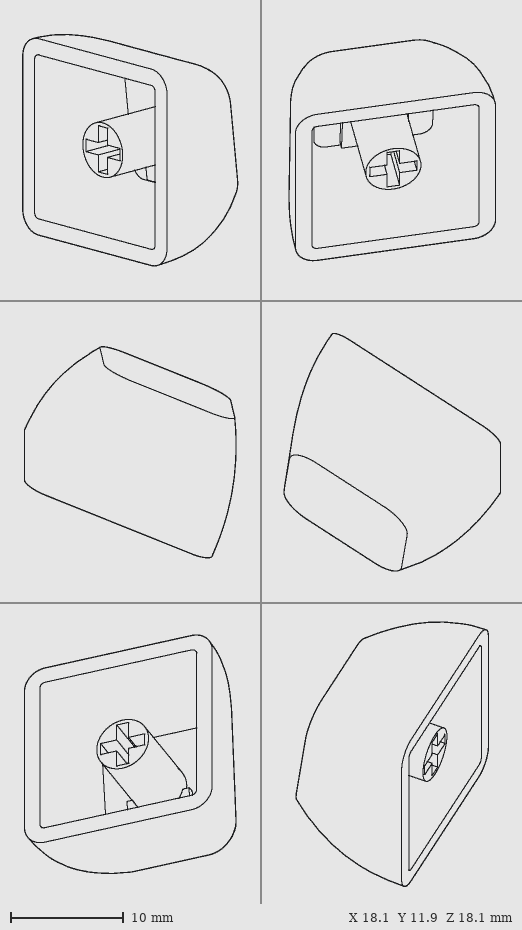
import cadquery as cq
import math

OPEN_SIZE = 18.1
OPEN_CORNER = 2.0
TOP_SIZE = 12.6
TOP_CORNER = 2.66
TOP_HEIGHT = 11.17
TOP_TILT = 7.0
WALL = 1.5
TAPER_POWER = 2.2
SECTION_COUNT = 5

STEM_DIAMETER = 5.0
STEM_RECESS = 1.0
CROSS_LENGTH = 4.25
CROSS_WIDTH = 1.14
CROSS_DEPTH = 4.0

BLOCK_WIDTH = 5.97
BLOCK_LENGTH = 4.35
BLOCK_THICKNESS = 0.72
BLOCK_OFFSET = 2.82


def tilted_plane(height, tilt):
    """Plane that faces +Y at the given height and leans toward +Z; its y axis runs down the -Z side."""
    angle = math.radians(tilt)
    normal = (0, math.cos(angle), math.sin(angle))
    return cq.Plane(origin=(0, height, 0), xDir=(1, 0, 0), normal=normal)


def flat_workplane(height):
    """Workplane that faces +Y, square to the stem."""
    return cq.Workplane(tilted_plane(height, 0))


def section_outline(fraction):
    """Rounded square across the cap; it narrows faster the higher it lies."""
    size = OPEN_SIZE + (TOP_SIZE - OPEN_SIZE) * fraction**TAPER_POWER
    corner = OPEN_CORNER + (TOP_CORNER - OPEN_CORNER) * fraction**TAPER_POWER
    plane = tilted_plane(TOP_HEIGHT * fraction, TOP_TILT * fraction)
    outline = cq.Sketch().rect(size, size).vertices().fillet(corner)
    return outline.moved(cq.Location(plane))


def make_shell():
    """Hollow cap of even wall thickness, open at y = 0."""
    last = SECTION_COUNT - 1
    outlines = [section_outline(index / last) for index in range(SECTION_COUNT)]
    blank = cq.Workplane().placeSketch(*outlines).loft()
    return blank.faces("<Y").shell(-WALL)


def make_stem():
    """Round post whose root ends halfway through the cap's top wall."""
    root = TOP_HEIGHT - WALL / 2
    return flat_workplane(STEM_RECESS).circle(STEM_DIAMETER / 2).extrude(root - STEM_RECESS)


def make_cross_socket():
    """Cross-shaped blind socket in the end of the stem."""
    start = flat_workplane(STEM_RECESS)
    across = start.rect(CROSS_LENGTH, CROSS_WIDTH).extrude(CROSS_DEPTH)
    upright = start.rect(CROSS_WIDTH, CROSS_LENGTH).extrude(CROSS_DEPTH)
    return across.union(upright)


def make_cap():
    """Shell and stem as one solid, with the socket cut from the stem."""
    return make_shell().union(make_stem()).cut(make_cross_socket())


def make_legend_block():
    """Plate on the ceiling, notched where the stem passes it."""
    ceiling_height = TOP_HEIGHT - WALL / math.cos(math.radians(TOP_TILT))
    ceiling = cq.Workplane(tilted_plane(ceiling_height, TOP_TILT))
    plate = ceiling.center(0, BLOCK_OFFSET).rect(BLOCK_WIDTH, BLOCK_LENGTH).extrude(-BLOCK_THICKNESS)
    return plate.cut(make_stem())


cap = make_cap()
legend_block = make_legend_block()

result = cq.Compound.makeCompound([*cap.solids().vals(), *legend_block.solids().vals()])